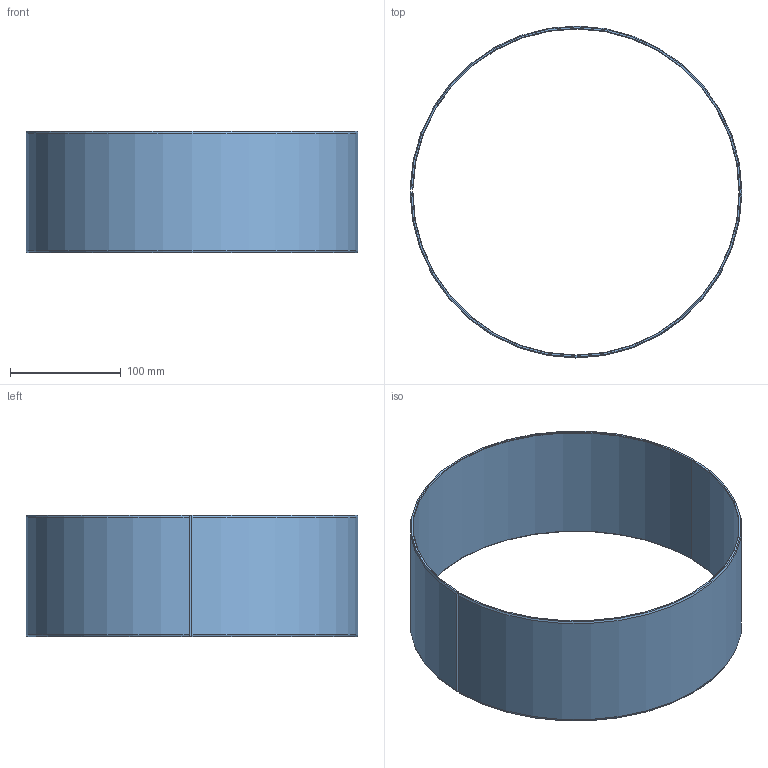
import cadquery as cq
import math

outer_diameter = 300.0
wall_thickness = 2.5
height = 110.0
slit_width = 2.6

outer_bevel_length = 1.8
outer_bevel_angle = 20.0
inner_bevel_length = 0.6
inner_bevel_angle = 30.0

outer_radius = outer_diameter / 2
inner_radius = outer_radius - wall_thickness
outer_bevel_depth = outer_bevel_length * math.tan(math.radians(outer_bevel_angle))
inner_bevel_depth = inner_bevel_length * math.tan(math.radians(inner_bevel_angle))


def make_band():
    """Revolve the wall section, bevelled at all four corners, about Z; the base is at Z = 0."""
    section = [
        (inner_radius, inner_bevel_length),
        (inner_radius + inner_bevel_depth, 0),
        (outer_radius - outer_bevel_depth, 0),
        (outer_radius, outer_bevel_length),
        (outer_radius, height - outer_bevel_length),
        (outer_radius - outer_bevel_depth, height),
        (inner_radius + inner_bevel_depth, height),
        (inner_radius, height - inner_bevel_length),
    ]
    return cq.Workplane("XZ").polyline(section).close().revolve(360, (0, 0, 0), (0, 1, 0))


def make_slit_cutter():
    """Full-height cutter through the wall at -X, spanning from Y = 0 to the slit width."""
    cutter_depth = 4 * wall_thickness
    cutter = cq.Workplane("XY").box(cutter_depth, slit_width, height, centered=(True, False, False))
    return cutter.translate((-outer_radius, 0, 0))


result = make_band().cut(make_slit_cutter())